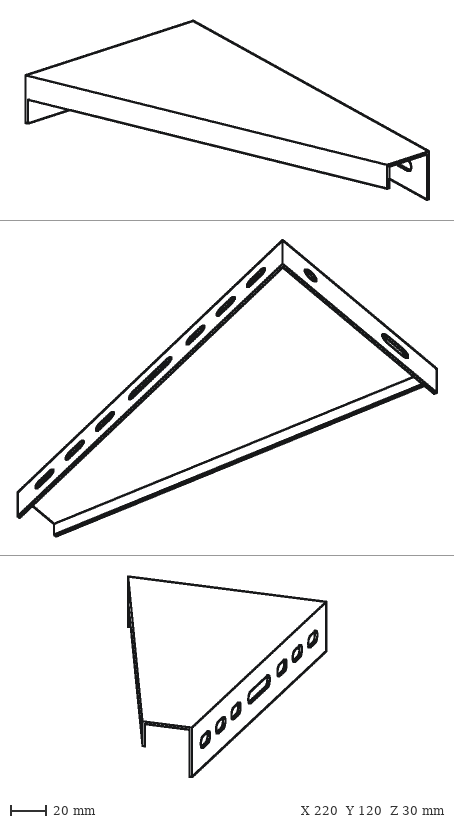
import cadquery as cq

length = 220.0
root_depth = 120.0
tip_depth = 30.0
height = 30.0
sheet = 1.5
lip_height = height / 2

hole_diameter = 9.0
end_slot_length = 20.0
hole_from_rear = 21.8
end_slot_from_rear = 87.5

flange_slot_width = 7.0
short_slot_length = 15.0
long_slot_length = 35.0
first_slot_offset = 37.6
slot_pitch = 25.0
slots_per_side = 3

hole_level = height / 2


def tapered_prism(bottom, top):
    """Solid with the plan outline of the bracket; the rear face lies on Y = 0."""
    outline = [(0, 0), (length, 0), (length, -tip_depth), (0, -root_depth)]
    return cq.Workplane("XY").workplane(offset=bottom).polyline(outline).close().extrude(top - bottom)


def end_plate():
    """Full-height plate across the wide end, with a round hole and a slot."""
    plate = cq.Workplane("XY").box(sheet, root_depth, height, centered=False)
    plate = plate.translate((0, -root_depth, 0))
    face = cq.Workplane("YZ")
    hole = face.center(-hole_from_rear, hole_level).circle(hole_diameter / 2).extrude(sheet)
    slot = face.center(-end_slot_from_rear, hole_level).slot2D(end_slot_length, hole_diameter).extrude(sheet)
    return plate.cut(hole).cut(slot).intersect(tapered_prism(0, height))


def rear_flange():
    """Full-height flange along the straight edge, with a row of slots."""
    flange = cq.Workplane("XY").box(length, sheet, height, centered=False).translate((0, -sheet, 0))
    face = cq.Workplane("XZ").center(length / 2, hole_level)
    flange = flange.cut(face.slot2D(long_slot_length, flange_slot_width).extrude(sheet))
    for index in range(slots_per_side):
        offset = first_slot_offset + index * slot_pitch
        centers = [(-offset, 0), (offset, 0)]
        slots = face.pushPoints(centers).slot2D(short_slot_length, flange_slot_width).extrude(sheet)
        flange = flange.cut(slots)
    return flange


def front_lip():
    """Half-height lip along the sloping edge, one sheet thick square to the slope."""
    run = cq.Vector(length, root_depth - tip_depth, 0)
    inward_shift = sheet * run.Length / length
    prism = tapered_prism(height - lip_height, height)
    return prism.cut(prism.translate((0, inward_shift, 0)))


top_plate = tapered_prism(height - sheet, height)
result = top_plate.union(end_plate()).union(rear_flange()).union(front_lip()).clean()